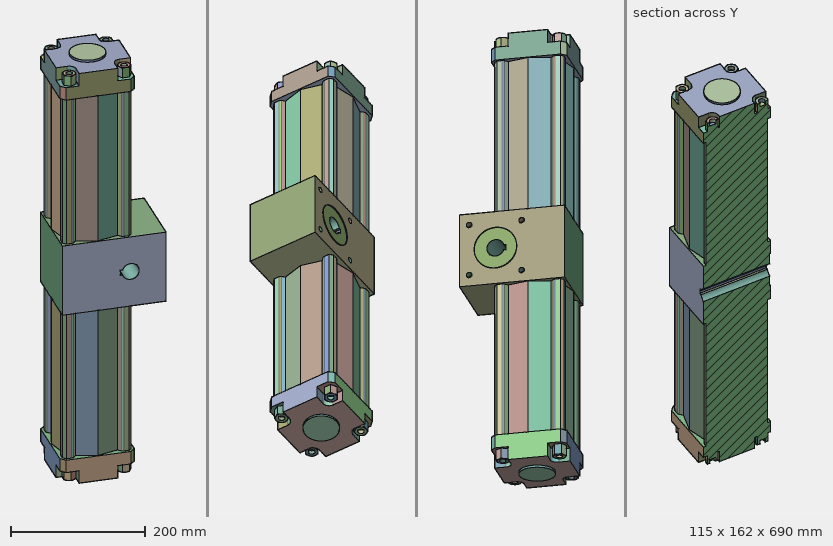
import cadquery as cq
import math

total_length = 690.0
width = 115.0
depth = 162.0
half_width = width / 2

cap_height = 41.5
cap_chamfer = 7.5
disc_diameter = 54.5
disc_height = 3.5
pocket_side = 27.5
pocket_depth = 21.0
pocket_radius = 10.5
cap_top = total_length / 2 - disc_height
cap_bottom = cap_top - cap_height
pocket_floor = cap_top - pocket_depth

nut_across_flats = 18.5
nut_height = 16.5
nut_chamfer_angle = 30.0
nut_bore = 10.0
nut_bore_depth = 7.0
nut_near_offset = 41.5
nut_far_offset = 44.0

ridge_height = 56.0
ridge_angle = 15.0
groove_offset = 32.5
groove_wall_angle = 45.0
lip_radius = 5.0
corner_height = 53.0
corner_chamfer = 5.0

block_height = width
block_back = depth - half_width
block_front = -56.0
bore_y = 50.0
bore_diameter = 26.0
key_width = 8.0
key_reach = 16.0
recess_diameter = 65.0
recess_depth = 1.5
bolt_hole_diameter = 8.0
bolt_hole_depth = 14.0
bolt_hole_pitch = 80.0


def turned(point, quarters):
    """Turn a point clockwise about the Z axis by a number of quarter turns."""
    x, y = point
    for _ in range(quarters):
        x, y = y, -x
    return x, y


def make_tube():
    """Tube bar with the same ridge and groove outline on all four sides."""
    groove_height = ridge_height - groove_offset * math.tan(math.radians(ridge_angle))
    wall_run = (corner_height - groove_height) / math.tan(math.radians(groove_wall_angle))
    lip_offset = groove_offset + wall_run
    lip_tangent = lip_radius * math.tan(math.radians(groove_wall_angle / 2))
    wall_step_out = lip_tangent * math.cos(math.radians(groove_wall_angle))
    wall_step_down = lip_tangent * math.sin(math.radians(groove_wall_angle))
    lip_outer = (lip_offset + lip_tangent, corner_height)
    lip_inner = (lip_offset - wall_step_out, corner_height - wall_step_down)
    flat_end = corner_height - corner_chamfer

    outline = cq.Workplane("XY").moveTo(-flat_end, corner_height)
    for quarter in range(4):
        if quarter > 0:
            outline = outline.lineTo(*turned((-flat_end, corner_height), quarter))
        outline = (
            outline.lineTo(*turned((-lip_outer[0], lip_outer[1]), quarter))
            .tangentArcPoint(turned((-lip_inner[0], lip_inner[1]), quarter), relative=False)
            .lineTo(*turned((-groove_offset, groove_height), quarter))
            .lineTo(*turned((0, ridge_height), quarter))
            .lineTo(*turned((groove_offset, groove_height), quarter))
            .lineTo(*turned(lip_inner, quarter))
            .tangentArcPoint(turned(lip_outer, quarter), relative=False)
            .lineTo(*turned((flat_end, corner_height), quarter))
        )
    return outline.close().extrude(cap_bottom, both=True)


def make_nut(x, y, corner_angle):
    """Hexagon nut standing on a pocket floor, one corner at corner_angle."""
    across_corners = nut_across_flats / math.cos(math.radians(30))
    corner_excess = (across_corners - nut_across_flats) / 2
    corner_drop = corner_excess * math.tan(math.radians(nut_chamfer_angle))
    turned_blank = (
        cq.Workplane("XY")
        .circle(across_corners / 2)
        .extrude(nut_height)
        .faces(">Z")
        .chamfer(corner_drop, corner_excess)
    )
    return (
        cq.Workplane("XY")
        .polygon(6, across_corners)
        .extrude(nut_height)
        .intersect(turned_blank)
        .faces(">Z")
        .workplane()
        .hole(nut_bore, nut_bore_depth)
        .rotate((0, 0, 0), (0, 0, 1), corner_angle)
        .translate((x, y, pocket_floor))
    )


def make_cap():
    """Upper end cap with corner pockets, nuts and a low centre disc."""
    cap = (
        cq.Workplane("XY", origin=(0, 0, cap_bottom))
        .rect(width, width)
        .extrude(cap_height)
        .edges("|Z")
        .chamfer(cap_chamfer)
    )
    pockets = (
        cq.Workplane("XY", origin=(0, 0, pocket_floor))
        .rect(width, width, forConstruction=True)
        .vertices()
        .rect(2 * pocket_side, 2 * pocket_side)
        .extrude(pocket_depth)
        .edges("|Z")
        .fillet(pocket_radius)
    )
    cap = cap.cut(pockets)
    disc = cq.Workplane("XY", origin=(0, 0, cap_top)).circle(disc_diameter / 2).extrude(disc_height)
    cap = cap.union(disc)
    for quarter in range(4):
        x, y = turned((nut_near_offset, nut_far_offset), quarter)
        cap = cap.union(make_nut(x, y, 90 - 90 * quarter))
    return cap


def make_block():
    """Centre block with keyed cross bore, shallow recess and bolt holes on -X."""
    block = cq.Workplane("XY").box(width, block_back - block_front, block_height)
    block = block.translate((0, (block_back + block_front) / 2, 0))
    side = cq.Workplane("YZ", origin=(-half_width, bore_y, 0))
    bore = side.circle(bore_diameter / 2).extrude(width)
    keyway = side.center(-key_reach / 2, 0).rect(key_reach, key_width).extrude(width)
    recess = side.circle(recess_diameter / 2).extrude(recess_depth)
    bolt_holes = (
        side.rect(bolt_hole_pitch, bolt_hole_pitch, forConstruction=True)
        .vertices()
        .circle(bolt_hole_diameter / 2)
        .extrude(bolt_hole_depth)
    )
    return block.cut(bore).cut(keyway).cut(recess).cut(bolt_holes)


upper_cap = make_cap()
lower_cap = upper_cap.mirror("XY")
block = make_block()
clearance_width = 2 * width
block_space = cq.Workplane("XY").box(clearance_width, clearance_width, block_height)
result = make_tube().cut(block_space).union(block).union(upper_cap).union(lower_cap)